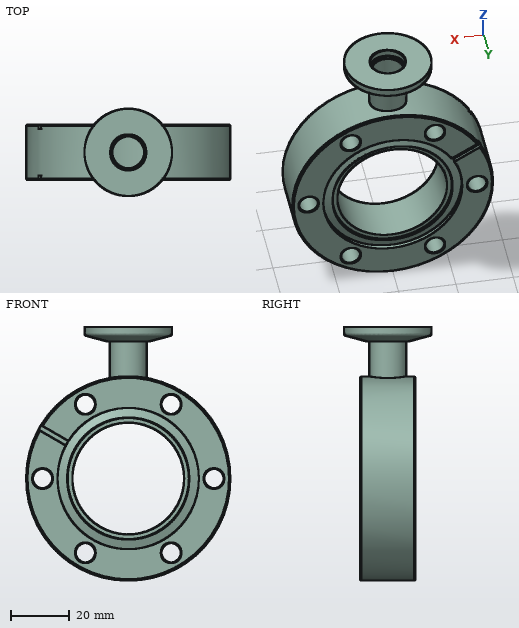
import cadquery as cq
import math

ring_diameter = 70.0
ring_width = 19.05
ring_chamfer = 0.5
bore_diameter = 38.2

recess_diameter = 48.4
recess_depth = 1.7
knife_diameter = 41.9
knife_slope = 20.0
land_diameter = 41.5
land_depth = 1.2

bolt_count = 6
bolt_circle_diameter = 58.7
bolt_hole_diameter = 6.6
bolt_hole_chamfer = 0.25

groove_width = 1.8
groove_depth = 1.55
groove_angle = 150.0

port_top = 51.9
tube_diameter = 12.7
tube_bore_diameter = 10.9
tube_seat_depth = 1.5

clamp_diameter = 30.0
clamp_thickness = 5.0
clamp_rim_height = 2.9
clamp_cone_angle = 15.0
clamp_rim_fillet = 1.0
clamp_recess_diameter = 12.0
clamp_recess_depth = 2.5
clamp_recess_chamfer = 0.2

ring_radius = ring_diameter / 2
half_width = ring_width / 2
bore_radius = bore_diameter / 2
recess_radius = recess_diameter / 2
land_radius = land_diameter / 2
knife_radius = knife_diameter / 2
knife_height = (recess_radius - knife_radius) * math.tan(math.radians(knife_slope))
recess_floor = half_width - recess_depth
knife_tip = recess_floor + knife_height
land = half_width - land_depth

clamp_radius = clamp_diameter / 2
clamp_bottom = port_top - clamp_thickness
cone_height = clamp_thickness - clamp_rim_height
cone_bottom_radius = clamp_radius - cone_height / math.tan(math.radians(clamp_cone_angle))
tube_bottom = ring_radius - tube_seat_depth
tube_top = clamp_bottom + tube_seat_depth


def upright_cylinder(diameter, bottom, top):
    return cq.Workplane("XY", origin=(0, 0, bottom)).circle(diameter / 2).extrude(top - bottom)


def ring_blank():
    """Revolved ring whose two faces each carry a seal recess and a knife edge."""
    front_half = [
        (bore_radius, -land),
        (land_radius, -land),
        (knife_radius, -knife_tip),
        (recess_radius, -recess_floor),
        (recess_radius, -half_width),
        (ring_radius - ring_chamfer, -half_width),
        (ring_radius, -half_width + ring_chamfer),
    ]
    back_half = [(radius, -y) for radius, y in reversed(front_half)]
    profile = cq.Workplane("XY").polyline(front_half + back_half).close()
    return profile.revolve(360, (0, 0, 0), (0, 1, 0))


def bolt_hole():
    """Chamfered through hole on the +X axis of the bolt circle."""
    hole_radius = bolt_hole_diameter / 2
    mouth_radius = hole_radius + bolt_hole_chamfer
    straight_end = half_width - bolt_hole_chamfer
    profile = [
        (0, -half_width),
        (mouth_radius, -half_width),
        (hole_radius, -straight_end),
        (hole_radius, straight_end),
        (mouth_radius, half_width),
        (0, half_width),
    ]
    hole = cq.Workplane("XY").polyline(profile).close().revolve(360, (0, 0, 0), (0, 1, 0))
    return hole.translate((bolt_circle_diameter / 2, 0, 0))


def leak_groove(side):
    """Radial slot from the seal recess to the rim, on the face at side * half_width."""
    inner_end = math.sqrt(recess_radius**2 - (groove_width / 2) ** 2)
    groove = cq.Workplane("XY").box(
        ring_radius - inner_end + ring_chamfer,
        groove_depth,
        groove_width,
        centered=(False, True, True),
    )
    groove = groove.translate((inner_end, side * (half_width - groove_depth / 2), 0))
    return groove.rotate((0, 0, 0), (0, 1, 0), -groove_angle)


def make_ring():
    ring = ring_blank()
    for index in range(bolt_count):
        angle = index * 360 / bolt_count
        ring = ring.cut(bolt_hole().rotate((0, 0, 0), (0, 1, 0), angle))
    for side in (-1, 1):
        ring = ring.cut(leak_groove(side))
    ring = ring.cut(upright_cylinder(tube_bore_diameter, 0, ring_radius))
    return ring.cut(upright_cylinder(tube_diameter, tube_bottom, port_top))


def make_tube():
    tube = upright_cylinder(tube_diameter, tube_bottom, tube_top)
    return tube.cut(upright_cylinder(tube_bore_diameter, tube_bottom, tube_top))


def make_clamp_flange():
    profile = [
        (0, port_top),
        (clamp_radius, port_top),
        (clamp_radius, port_top - clamp_rim_height),
        (cone_bottom_radius, clamp_bottom),
        (0, clamp_bottom),
    ]
    flange = cq.Workplane("XZ").polyline(profile).close().revolve(360, (0, 0, 0), (0, 1, 0))
    rim_edge = cq.selectors.BoxSelector(
        (-clamp_diameter, -clamp_diameter, port_top - clamp_rim_height - clamp_rim_fillet),
        (clamp_diameter, clamp_diameter, port_top - clamp_rim_height + clamp_rim_fillet),
        boundingbox=True,
    )
    flange = flange.edges(rim_edge).fillet(clamp_rim_fillet)
    flange = flange.cut(upright_cylinder(tube_bore_diameter, clamp_bottom, port_top))
    flange = flange.cut(upright_cylinder(clamp_recess_diameter, port_top - clamp_recess_depth, port_top))
    mouth_edge = cq.selectors.RadiusNthSelector(0)
    flange = flange.faces(">Z").edges(mouth_edge).chamfer(clamp_recess_chamfer)
    return flange.cut(upright_cylinder(tube_diameter, clamp_bottom, tube_top))


ring = make_ring()
tube = make_tube()
clamp_flange = make_clamp_flange()

result = cq.Compound.makeCompound([ring.val(), tube.val(), clamp_flange.val()])